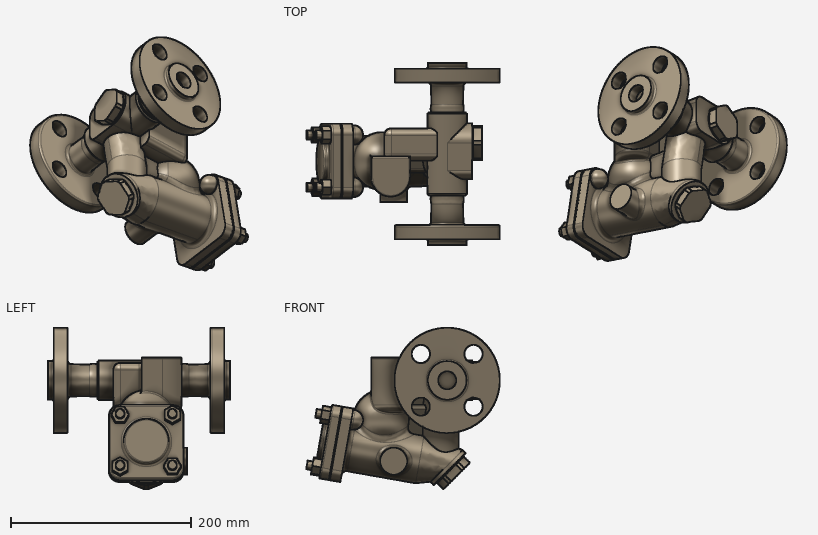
import cadquery as cq
import math


on_surface = 0.001

face_to_face = 202.0
flange_dia = 117.0
raised_face_dia = 42.9
raised_face_height = 6.35
raised_face_fillet = 2.0
flange_thickness = 15.9
flange_rim_fillet = 2.0
bolt_circle_dia = 82.6
bolt_hole_dia = 20.0
bolt_hole_count = 4
bore_dia = 20.0
bore_depth = 13.0

neck_root_dia = 36.4
neck_waist_dia = 35.4
neck_fillet = 3.0
neck_length = 23.5
weld_crown_dia = 37.2
weld_root_dia = 36.0

barrel_dia = 44.0
barrel_half_length = 46.4
barrel_chamfer = 2.0

strainer_y = 12.2
housing_reach = 27.7
housing_low_y = -28.2
housing_corner_radius = 10.0

plug_across_flats = 38.0
plug_seat_dia = 38.0
plug_seat_height = 1.0
plug_hex_height = 9.9
plug_corner_dia = 41.6

trap_y = -8.0
tilt = math.radians(10)
cover_x = -134.8
cover_z = -67.9
body_dia = 56.6
body_end_depth = 106.0
body_root_fillet = 5.0

plate_side = 83.0
stud_spacing = 58.0
plate_corner_radius = (plate_side - stud_spacing) / 2
plate_edge_fillet = 1.5
cover_thickness = 10.8
gasket_thickness = 1.4
gasket_side = 80.0
body_plate_thickness = 11.8
cap_dia = 50.0
cap_height = 6.4
cap_root_fillet = 3.0
cap_edge_fillet = 1.5
stud_dia = 10.0
stud_reach = 16.0
nut_across_flats = 17.0
nut_height = 9.8
stud_boss_radius = 11.0
stud_boss_length = 2.0

dome_x = -72.0
dome_z = -43.0
dome_radius = 32.4
dome_fillet = 9.0

column_x = -62.8
column_y = -25.7
column_radius = 21.6
column_back_y = -2.8
column_top_z = 25.5
column_bottom_z = -35.0
column_top_fillet = 1.5
column_bottom_fillet = 8.0
column_joint_fillet = 2.0

arm_left_x = -69.8
arm_right_x = -11.0
arm_front_y = -7.6
arm_back_y = 28.4
arm_top_z = 19.4
arm_bottom_z = -35.0
arm_fillet = 7.7

web_thickness = 26.0
web_bottom_z = -80.0
web_fillet = 5.0

side_boss_x = -59.3
side_boss_z = -89.6
side_boss_dia = 30.0
side_boss_end_y = -53.4
side_boss_fillet = 5.0

drain_x = 2.8
drain_z = -98.4
drain_dia = 50.0
drain_length = 5.0

leg_x = -9.1
leg_dia = 44.0
leg_blend_z = -51.0
leg_bottom_z = -90.0


def hexagon_dia(across_flats):
    return across_flats / math.cos(math.pi / 6)


def cylinder(plane, diameter, height):
    return cq.Workplane(plane).circle(diameter / 2).extrude(height)


def join_with_fillet(first, second, radius):
    """Join two solids and fillet every edge that lies on the surface of both."""
    joined = first.union(second)
    skins = [cq.Workplane(solid.val()).faces().vals() for solid in (first, second)]
    samples = (0.2, 0.5, 0.8)

    def on_skin(edge, skin):
        points = [cq.Vertex.makeVertex(*edge.positionAt(place).toTuple()) for place in samples]
        return all(min(face.distance(point) for face in skin) < on_surface for point in points)

    edges = [edge for edge in joined.edges().vals() if all(on_skin(edge, skin) for skin in skins)]
    return joined.newObject(edges).fillet(radius)


def pipe_end():
    """Flange, neck and weld on the +Y end, with the axis along Y."""
    end = face_to_face / 2
    face = end - raised_face_height
    back = face - flange_thickness
    neck_end = back - neck_length
    weld_middle = (barrel_half_length + neck_end) / 2
    neck = (
        cq.Workplane("XY")
        .moveTo(0, barrel_half_length - barrel_chamfer)
        .lineTo(weld_root_dia / 2, barrel_half_length - barrel_chamfer)
        .lineTo(weld_root_dia / 2, barrel_half_length)
        .threePointArc((weld_crown_dia / 2, weld_middle), (neck_waist_dia / 2, neck_end))
        .lineTo(neck_root_dia / 2, back - neck_fillet)
        .radiusArc((neck_root_dia / 2 + neck_fillet, back), neck_fillet)
        .lineTo(0, back)
        .close()
        .revolve(360, (0, 0, 0), (0, 1, 0))
    )
    disc = cylinder(cq.Plane((0, back, 0), (1, 0, 0), (0, 1, 0)), flange_dia, flange_thickness)
    disc = disc.faces("<Y").edges().fillet(flange_rim_fillet)
    face_plane = cq.Plane((0, face, 0), (1, 0, 0), (0, 1, 0))
    disc = disc.union(cylinder(face_plane, raised_face_dia, raised_face_height))
    reach = raised_face_dia
    root = cq.selectors.BoxSelector(
        (-reach, face - on_surface, -reach), (reach, face + on_surface, reach), boundingbox=True
    )
    disc = disc.edges(root).fillet(raised_face_fillet)
    holes = (
        cq.Workplane(face_plane)
        .polarArray(bolt_circle_dia / 2, 180 / bolt_hole_count, 360, bolt_hole_count)
        .circle(bolt_hole_dia / 2)
        .extrude(-flange_thickness)
    )
    bore = cylinder(cq.Plane((0, end, 0), (1, 0, 0), (0, 1, 0)), bore_dia, -bore_depth)
    return disc.cut(holes).union(neck).cut(bore)


def barrel():
    plane = cq.Plane((0, -barrel_half_length, 0), (1, 0, 0), (0, 1, 0))
    return cylinder(plane, barrel_dia, 2 * barrel_half_length).edges("%CIRCLE").chamfer(barrel_chamfer)


def plug(plane):
    """Hexagonal plug with a round seat; two flats of the hexagon face local Y."""
    seat = cylinder(plane, plug_seat_dia, plug_seat_height)
    head = (
        cq.Workplane(plane)
        .workplane(offset=plug_seat_height)
        .polygon(6, hexagon_dia(plug_across_flats))
        .extrude(plug_hex_height)
    )
    turned_corners = cylinder(plane, plug_corner_dia, plug_seat_height + plug_hex_height)
    return seat.union(head.intersect(turned_corners))


def strainer_housing():
    """Housing with one half-round side and one side with rounded corners."""
    radius = barrel_dia / 2
    high_y = strainer_y
    flat_end = housing_low_y + housing_corner_radius
    corner = housing_corner_radius
    housing = (
        cq.Workplane("YZ")
        .moveTo(high_y, radius)
        .threePointArc((high_y + radius, 0), (high_y, -radius))
        .lineTo(flat_end, -radius)
        .radiusArc((housing_low_y, corner - radius), corner)
        .lineTo(housing_low_y, radius - corner)
        .radiusArc((flat_end, radius), corner)
        .close()
        .extrude(housing_reach)
    )
    plug_plane = cq.Plane((housing_reach, strainer_y, 0), (0, 0, 1), (1, 0, 0))
    return housing.union(plug(plug_plane))


def body_plane(depth=0.0):
    """Plane square to the tilted body axis, at a depth behind the cover face; local Y points up."""
    origin = (cover_x + depth * math.cos(tilt), trap_y, cover_z - depth * math.sin(tilt))
    return cq.Plane(origin, (0, -1, 0), (-math.cos(tilt), 0, math.sin(tilt)))


def plate(depth, side, thickness):
    radius = plate_corner_radius - (plate_side - side) / 2
    slab = cq.Workplane(body_plane(depth)).rect(side, side).extrude(-thickness)
    corners = cq.selectors.ParallelDirSelector(body_plane().zDir)
    return slab.edges(corners).fillet(radius)


def cover():
    outward = body_plane().zDir
    outer_face = cq.selectors.DirectionMinMaxSelector(outward, True)
    cover_plate = plate(0, plate_side, cover_thickness)
    cover_plate = cover_plate.faces(outer_face).edges().fillet(plate_edge_fillet)
    half = cap_dia / 2
    cap = (
        cq.Workplane(cq.Plane(body_plane().origin, (0, -1, 0), body_plane().yDir.multiply(-1)))
        .lineTo(half + cap_root_fillet, 0)
        .radiusArc((half, cap_root_fillet), cap_root_fillet)
        .lineTo(half, cap_height - cap_edge_fillet)
        .radiusArc((half - cap_edge_fillet, cap_height), -cap_edge_fillet)
        .lineTo(0, cap_height)
        .close()
        .revolve(360, (0, 0, 0), (0, 1, 0))
    )
    gasket = plate(cover_thickness, gasket_side, gasket_thickness)
    return cover_plate.union(cap).union(gasket)


def stud_and_nut(across, up):
    """Stud and nut at one cover corner; the nuts at opposite corners are turned alike."""
    turn = 0 if across * up < 0 else 30
    nut = (
        cq.Workplane(body_plane())
        .center(across, up)
        .transformed(rotate=(0, 0, turn))
        .polygon(6, hexagon_dia(nut_across_flats))
        .extrude(nut_height)
    )
    stud = cq.Workplane(body_plane()).center(across, up).circle(stud_dia / 2).extrude(stud_reach)
    return nut.union(stud)


def stud_boss(across, up, depth):
    """Round-ended boss around a stud, behind the body plate."""
    shank = (
        cq.Workplane(body_plane(depth))
        .center(across, up)
        .circle(stud_boss_radius)
        .extrude(-stud_boss_length)
    )
    end = cq.Workplane(body_plane(depth + stud_boss_length)).center(across, up).sphere(stud_boss_radius)
    return shank.union(end)


def web():
    """Rounded web filling the corner between the dome, the arm and the leg."""
    solid = cq.Workplane("XY").box(
        leg_x - column_x, web_thickness, arm_bottom_z + arm_fillet - web_bottom_z, centered=False
    )
    solid = solid.translate((column_x, trap_y - web_thickness / 2, web_bottom_z))
    return solid.edges("|X and >Z").fillet(web_fillet)


def chamber():
    """Float chamber dome with the column standing on it; the dome's seam is turned into the arm."""
    dome = cq.Workplane("XY").sphere(dome_radius).rotate((0, 0, 0), (0, 0, 1), 45)
    dome = dome.translate((dome_x, trap_y, dome_z))
    return dome, join_with_fillet(dome, column(), column_joint_fillet)


def body():
    """Tilted body cylinder with its float chamber, side boss and bolting plate."""
    plate_depth = cover_thickness + gasket_thickness
    back_depth = plate_depth + body_plate_thickness
    front = body_plane(plate_depth)
    seam_below = cq.Plane(front.origin, front.yDir.multiply(-1), front.zDir)
    tube = cylinder(seam_below, body_dia, plate_depth - body_end_depth)
    root = join_with_fillet(tube, plate(plate_depth, plate_side, body_plate_thickness), body_root_fillet)

    dome, dome_and_column = chamber()
    side_plane = cq.Plane((side_boss_x, side_boss_end_y, side_boss_z), (0, 0, -1), (0, -1, 0))
    side_boss = cylinder(side_plane, side_boss_dia, side_boss_end_y - trap_y)
    shell = join_with_fillet(tube, dome, dome_fillet)
    shell = join_with_fillet(shell, side_boss, side_boss_fillet)

    shell = shell.union(root).union(dome_and_column)
    for across in (-stud_spacing / 2, stud_spacing / 2):
        shell = shell.union(stud_boss(across, stud_spacing / 2, back_depth))
    return shell


def drain_port():
    slope = math.sqrt(0.5)
    along = (slope, 0, -slope)
    face_plane = cq.Plane((drain_x, trap_y, drain_z), (slope, 0, slope), along)
    port = cylinder(face_plane, drain_dia, -drain_length)
    tube_end = body_plane(body_end_depth)
    elbow_start = cq.Wire.makeCircle(body_dia / 2, tube_end.origin, tube_end.zDir.multiply(-1))
    elbow_end_centre = face_plane.origin - face_plane.zDir.multiply(drain_length)
    elbow_end = cq.Wire.makeCircle(drain_dia / 2, elbow_end_centre, face_plane.zDir)
    elbow = cq.Workplane(cq.Solid.makeLoft([elbow_start, elbow_end], True))
    return elbow.union(port).union(plug(face_plane))


def leg():
    blend = (
        cq.Workplane("XY")
        .center(0, trap_y)
        .circle(leg_dia / 2)
        .workplane(offset=leg_blend_z)
        .center(leg_x, 0)
        .circle(leg_dia / 2)
        .loft(ruled=True)
    )
    lower_plane = cq.Plane((leg_x, trap_y, leg_blend_z), (1, 0, 0), (0, 0, 1))
    return blend.union(cylinder(lower_plane, leg_dia, leg_bottom_z - leg_blend_z))


def column():
    left = column_x - column_radius
    right = column_x + column_radius
    solid = (
        cq.Workplane("XY", origin=(0, 0, column_bottom_z))
        .moveTo(left, column_back_y)
        .lineTo(left, column_y)
        .threePointArc((column_x, column_y - column_radius), (right, column_y))
        .lineTo(right, column_back_y)
        .close()
        .extrude(column_top_z - column_bottom_z)
    )
    solid = solid.faces(">Z").edges().fillet(column_top_fillet)
    return solid.faces("<Z").edges("not >Y").fillet(column_bottom_fillet)


def arm():
    solid = cq.Workplane("XY").box(
        arm_right_x - arm_left_x,
        arm_back_y - arm_front_y,
        arm_top_z - arm_bottom_z,
        centered=False,
    )
    solid = solid.translate((arm_left_x, arm_front_y, arm_bottom_z))
    return solid.edges("|X or (<X and |Z) or (<X and |Y)").fillet(arm_fillet)


outlet_end = pipe_end()
inlet_end = outlet_end.mirror("XZ")
result = barrel().union(outlet_end).union(inlet_end).union(strainer_housing())
result = result.union(leg()).union(drain_port()).union(body())
result = result.union(arm()).union(web()).union(cover())
for across in (-stud_spacing / 2, stud_spacing / 2):
    for up in (-stud_spacing / 2, stud_spacing / 2):
        result = result.union(stud_and_nut(across, up))